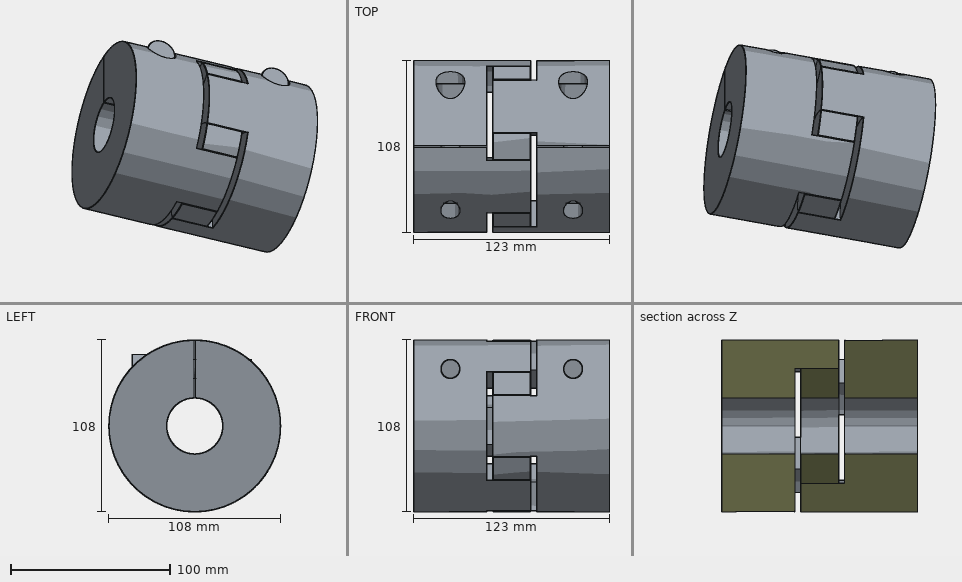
import cadquery as cq
import math

LENGTH = 123.0
OUTER_RADIUS = 54.0
BORE_RADIUS = 17.5
EDGE_CHAMFER = 0.31
TOLERANCE = 0.001

HUB_BODY_LENGTH = 46.0
SPIDER_WIDTH = 24.0
LEG_CHAMFER = 0.43
SPIDER_START = (LENGTH - SPIDER_WIDTH) / 2
SPIDER_END = SPIDER_START + SPIDER_WIDTH

JAW_COUNT = 3
JAW_INNER_RADIUS = 35.9
JAW_INNER_HALF_WIDTH = 11.6
JAW_OUTER_HALF_WIDTH = 19.3
JAW_FLANK_HOLLOW = 1.17
JAW_OVERREACH = 2.5
GAP_OVERREACH = JAW_OVERREACH / 2
LEFT_JAW_ANGLE = 0.0
RIGHT_JAW_ANGLE = 180.0

SLIT_WIDTH = 1.0
SCREW_X = 23.0
SCREW_Z = 35.8
SHANK_RADIUS = 6.0
HEAD_RADIUS = 9.1
HEAD_LENGTH = 12.0
HEAD_END_Y = 39.5
HEAD_SEAT_Y = HEAD_END_Y - HEAD_LENGTH
SHANK_END_Y = -35.7


def cylinder_along_x(radius, start, end):
    plane = cq.Plane(origin=(start, 0, 0), xDir=(0, 0, -1), normal=(1, 0, 0))
    return cq.Workplane(plane).circle(radius).extrude(end - start)


def cylinder_along_y(radius, x, start, end):
    plane = cq.Plane(origin=(x, start, SCREW_Z), xDir=(0, 0, 1), normal=(0, 1, 0))
    return cq.Workplane(plane).circle(radius).extrude(end - start)


def is_outer_edge(edge):
    """True for an edge on the outer cylinder, except the cylinder's own seam along the bottom."""
    ends = [edge.startPoint(), edge.endPoint()]
    on_cylinder = all(abs(math.hypot(end.y, end.z) - OUTER_RADIUS) < TOLERANCE for end in ends)
    on_seam = edge.geomType() == "LINE" and abs(ends[0].y) < TOLERANCE
    return on_cylinder and not on_seam


def chamfer_outer_edges(body, size):
    return body.edges().filter(is_outer_edge).chamfer(size)


def jaw(angle, start, end):
    """Jaw prism at an angle from +Y about X, reaching past the outer cylinder that trims it."""
    inner_y = math.sqrt(JAW_INNER_RADIUS**2 - JAW_INNER_HALF_WIDTH**2)
    outer_y = math.sqrt(OUTER_RADIUS**2 - JAW_OUTER_HALF_WIDTH**2)
    flank_y = outer_y - inner_y
    flank_z = JAW_OUTER_HALF_WIDTH - JAW_INNER_HALF_WIDTH
    flank_length = math.hypot(flank_y, flank_z)
    middle_y = (inner_y + outer_y) / 2 + JAW_FLANK_HOLLOW * flank_z / flank_length
    middle_z = (JAW_INNER_HALF_WIDTH + JAW_OUTER_HALF_WIDTH) / 2 - JAW_FLANK_HOLLOW * flank_y / flank_length
    profile = (
        cq.Workplane("YZ", origin=(start, 0, 0))
        .moveTo(inner_y, -JAW_INNER_HALF_WIDTH)
        .threePointArc((middle_y, -middle_z), (outer_y, -JAW_OUTER_HALF_WIDTH))
        .lineTo(OUTER_RADIUS + JAW_OVERREACH, -JAW_OUTER_HALF_WIDTH)
        .lineTo(OUTER_RADIUS + JAW_OVERREACH, JAW_OUTER_HALF_WIDTH)
        .lineTo(outer_y, JAW_OUTER_HALF_WIDTH)
        .threePointArc((middle_y, middle_z), (inner_y, JAW_INNER_HALF_WIDTH))
        .threePointArc((JAW_INNER_RADIUS, 0), (inner_y, -JAW_INNER_HALF_WIDTH))
        .close()
    )
    return profile.extrude(end - start).rotate((0, 0, 0), (1, 0, 0), angle)


def jaw_angles(first_angle):
    return [first_angle + i * 360 / JAW_COUNT for i in range(JAW_COUNT)]


def make_hub(body_start, outer_face, jaw_start, jaw_end, first_jaw_angle, screw_x):
    """A clamp hub: bored cylinder, three jaws, a slit through the top wall and a screw hole."""
    body_end = body_start + HUB_BODY_LENGTH
    hub = cylinder_along_x(OUTER_RADIUS, min(body_start, jaw_start), max(body_end, jaw_end))
    jaw_gaps = cylinder_along_x(OUTER_RADIUS + GAP_OVERREACH, jaw_start, jaw_end)
    for angle in jaw_angles(first_jaw_angle):
        jaw_gaps = jaw_gaps.cut(jaw(angle, jaw_start, jaw_end))
    hub = chamfer_outer_edges(hub.cut(jaw_gaps), EDGE_CHAMFER)

    hub = hub.cut(cylinder_along_x(BORE_RADIUS, body_start, body_end))
    bore_rim = hub.faces(outer_face).edges(cq.selectors.RadiusNthSelector(0))
    hub = bore_rim.chamfer(EDGE_CHAMFER)

    slit = (
        cq.Workplane("XY", origin=(body_start, 0, 0))
        .box(HUB_BODY_LENGTH, SLIT_WIDTH, OUTER_RADIUS, centered=(False, True, False))
    )
    hub = hub.cut(slit)

    hub = hub.cut(cylinder_along_y(SHANK_RADIUS, screw_x, -OUTER_RADIUS, OUTER_RADIUS))
    return hub.cut(cylinder_along_y(HEAD_RADIUS, screw_x, HEAD_SEAT_Y, OUTER_RADIUS))


def make_spider():
    """Elastic ring between the hubs; its six legs fill the spaces between the jaws."""
    spider = cylinder_along_x(OUTER_RADIUS, SPIDER_START, SPIDER_END)
    spider = spider.cut(cylinder_along_x(BORE_RADIUS, SPIDER_START, SPIDER_END))
    for angle in jaw_angles(LEFT_JAW_ANGLE) + jaw_angles(RIGHT_JAW_ANGLE):
        spider = spider.cut(jaw(angle, SPIDER_START, SPIDER_END))
    return chamfer_outer_edges(spider, LEG_CHAMFER)


def make_screw(x):
    """Cap screw across the slit, with its head towards +Y."""
    shank = cylinder_along_y(SHANK_RADIUS, x, SHANK_END_Y, HEAD_SEAT_Y)
    head = cylinder_along_y(HEAD_RADIUS, x, HEAD_SEAT_Y, HEAD_END_Y)
    shank = shank.faces("<Y").chamfer(EDGE_CHAMFER)
    head = head.faces(">Y").chamfer(EDGE_CHAMFER)
    return shank.union(head)


right_body_start = LENGTH - HUB_BODY_LENGTH
screw_positions = [SCREW_X, LENGTH - SCREW_X]

left_hub = make_hub(0, "<X", HUB_BODY_LENGTH, SPIDER_END, LEFT_JAW_ANGLE, screw_positions[0])
right_hub = make_hub(
    right_body_start, ">X", SPIDER_START, right_body_start, RIGHT_JAW_ANGLE, screw_positions[1]
)
spider = make_spider()
screws = [make_screw(x) for x in screw_positions]

result = cq.Compound.makeCompound(
    [left_hub.val(), right_hub.val(), spider.val(), *[screw.val() for screw in screws]]
)